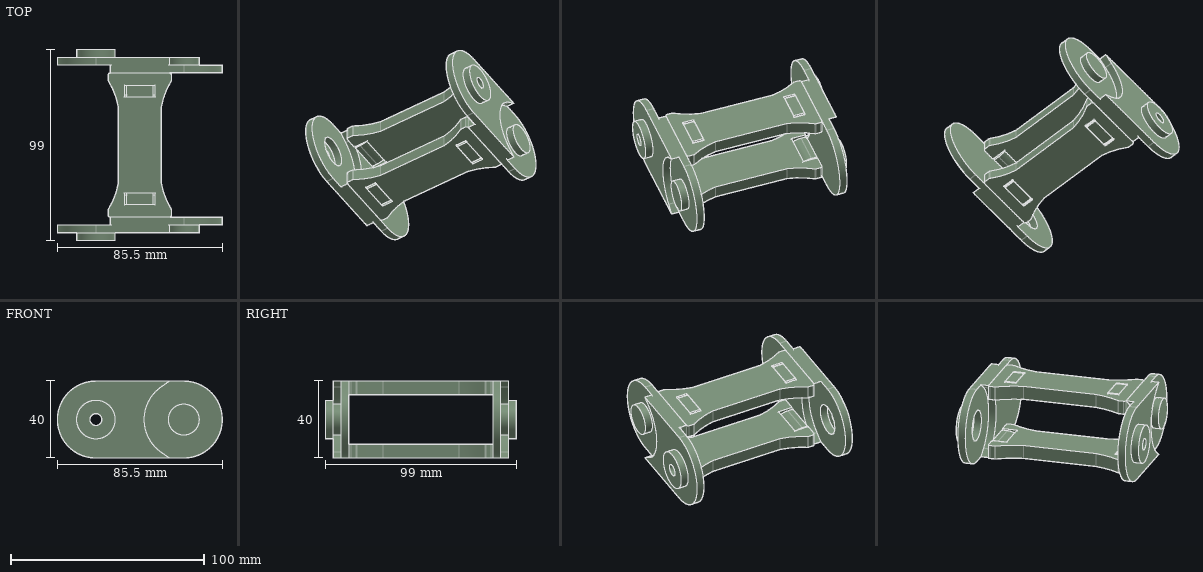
import cadquery as cq
import math

total_width = 99.0
plate_height = 40.0
pivot_spacing = 45.5
layer_thickness = 4.1
boss_diameter = 20.0
pin_diameter = 16.0
socket_diameter = 16.0
bore_diameter = 6.0
recess_radius = 20.6
recess_half_angle = 55.0

end_radius = plate_height / 2
pivot_x = pivot_spacing / 2
boss_end = total_width / 2
plate_outer = boss_end - layer_thickness
plate_middle = plate_outer - layer_thickness
plate_inner = plate_middle - layer_thickness

bar_thickness = 7.2
bar_end_width = 32.9
bar_waist_width = 22.4
bar_end_length = 4.0
bar_waist_length = 39.4
bar_flare_radius = 38.6
bar_corner_radius = 1.1
flare_edge_radius = 1.0

bar_top = plate_height / 2
bar_bottom = bar_top - bar_thickness

window_length = 15.9
window_width = 6.0
window_offset = 6.4
window_skin = 1.5
side_gap = 1.1
end_gap = 0.1
cavity_mouth = 7.8
tongue_recess = 0.4
tongue_flat = 3.0

tongue_length = window_length
catch_length = window_length - 2 * side_gap
cavity_length = tongue_length + 2 * side_gap
window_near = window_offset - plate_inner
window_far = window_near + window_width
skin_bottom = bar_top - window_skin


def plate_layer(face_y):
    """Full stadium outline, one layer thick, growing toward -Y from y = -face_y."""
    return (
        cq.Workplane("XZ", origin=(0, -face_y, 0))
        .slot2D(pivot_spacing + plate_height, plate_height)
        .extrude(layer_thickness)
    )


def disc_recess(face_y, side):
    """Cutter that clears one end of a layer; side is +1 for the +X end, -1 for -X."""
    angle = math.radians(recess_half_angle)
    arc_x = recess_radius * math.cos(angle)
    arc_z = recess_radius * math.sin(angle)
    flank_x = (recess_radius - end_radius * math.sin(angle)) / math.cos(angle)

    def at(inward, z):
        return (side * (pivot_x - inward), z)

    return (
        cq.Workplane("XZ", origin=(0, -face_y, 0))
        .moveTo(*at(-recess_radius, end_radius))
        .lineTo(*at(flank_x, end_radius))
        .lineTo(*at(arc_x, arc_z))
        .threePointArc(at(recess_radius, 0), at(arc_x, -arc_z))
        .lineTo(*at(flank_x, -end_radius))
        .lineTo(*at(-recess_radius, -end_radius))
        .close()
        .extrude(layer_thickness)
    )


def round_post(x, face_y, diameter, length):
    """Cylinder along -Y, starting at y = -face_y."""
    return cq.Workplane("XZ", origin=(x, -face_y, 0)).circle(diameter / 2).extrude(length)


def box_between(length, y_range, z_range):
    """Box centred on X and spanning the given ranges in Y and Z."""
    return (
        cq.Workplane("YZ")
        .moveTo(y_range[0], z_range[0])
        .lineTo(y_range[1], z_range[0])
        .lineTo(y_range[1], z_range[1])
        .lineTo(y_range[0], z_range[1])
        .close()
        .extrude(length / 2, both=True)
    )


def latch_tongue():
    """Upper tongue of the -Y plate: curved hook with a narrower catch in the window."""
    tongue_bottom = bar_bottom + tongue_recess
    catch_end = window_far - end_gap
    curve_start = tongue_flat - plate_inner
    curve_radius = catch_end - curve_start
    curve_center_z = tongue_bottom + curve_radius

    def curve_y(z):
        return curve_start + math.sqrt(curve_radius**2 - (curve_center_z - z) ** 2)

    middle_z = (tongue_bottom + skin_bottom) / 2
    tongue = (
        cq.Workplane("YZ")
        .moveTo(-plate_inner, skin_bottom)
        .lineTo(-plate_inner, tongue_bottom)
        .lineTo(curve_start, tongue_bottom)
        .threePointArc((curve_y(middle_z), middle_z), (curve_y(skin_bottom), skin_bottom))
        .close()
        .extrude(tongue_length / 2, both=True)
    )
    catch = box_between(catch_length, (window_near, catch_end), (skin_bottom, bar_top))
    return tongue.union(catch)


def latch_cavity():
    """Cutter for the -Y end of the upper bar: cavity with a sloped end, plus the window."""
    cavity = (
        cq.Workplane("YZ")
        .moveTo(-plate_inner, skin_bottom)
        .lineTo(-plate_inner, bar_bottom)
        .lineTo(cavity_mouth - plate_inner, bar_bottom)
        .lineTo(window_far, skin_bottom)
        .close()
        .extrude(cavity_length / 2, both=True)
    )
    window = box_between(window_length, (window_near, window_far), (skin_bottom, bar_top))
    return cavity.union(window)


def side_plate():
    """Plate on the -Y side."""
    inner_layer = plate_layer(plate_inner).cut(disc_recess(plate_inner, -1))
    outer_layer = plate_layer(plate_middle).cut(disc_recess(plate_middle, 1))
    plate = inner_layer.union(outer_layer)

    plate = plate.union(round_post(-pivot_x, plate_outer, boss_diameter, layer_thickness))
    plate = plate.union(round_post(pivot_x, plate_middle, pin_diameter, layer_thickness))
    plate = plate.cut(round_post(-pivot_x, plate_middle, socket_diameter, layer_thickness))
    plate = plate.cut(round_post(-pivot_x, plate_middle, bore_diameter, 2 * layer_thickness))

    tongue = latch_tongue()
    return plate.union(tongue).union(tongue.mirror("XY"))


def round_upright_edges(bar, distance, radius):
    """Fillet the upright bar edges lying at y = +distance and y = -distance."""
    reach = bar_end_width
    for y in (-distance, distance):
        low = (-reach, y - radius, 0)
        high = (reach, y + radius, plate_height)
        bar = bar.edges("|Z").edges(cq.selectors.BoxSelector(low, high)).fillet(radius)
    return bar


def crossbar():
    """Upper bar, flared toward both plates."""
    end_x = bar_end_width / 2
    waist_x = bar_waist_width / 2
    end_y = plate_inner
    flare_y = plate_inner - bar_end_length
    waist_y = bar_waist_length / 2
    bar = (
        cq.Workplane("XY", origin=(0, 0, bar_bottom))
        .moveTo(-end_x, end_y)
        .lineTo(end_x, end_y)
        .lineTo(end_x, flare_y)
        .radiusArc((waist_x, waist_y), -bar_flare_radius)
        .lineTo(waist_x, -waist_y)
        .radiusArc((end_x, -flare_y), -bar_flare_radius)
        .lineTo(end_x, -end_y)
        .lineTo(-end_x, -end_y)
        .lineTo(-end_x, -flare_y)
        .radiusArc((-waist_x, -waist_y), -bar_flare_radius)
        .lineTo(-waist_x, waist_y)
        .radiusArc((-end_x, flare_y), -bar_flare_radius)
        .close()
        .extrude(bar_thickness)
    )
    bar = round_upright_edges(bar, end_y, bar_corner_radius)
    bar = round_upright_edges(bar, flare_y, flare_edge_radius)
    cavity = latch_cavity()
    return bar.cut(cavity).cut(cavity.mirror("XZ"))


front_plate = side_plate()
upper_bar = crossbar()
bodies = []
for plate in (front_plate, front_plate.mirror("XZ")):
    bodies.append(plate.val())
for bar in (upper_bar, upper_bar.mirror("XY")):
    bodies.append(bar.val())

result = cq.Compound.makeCompound(bodies)